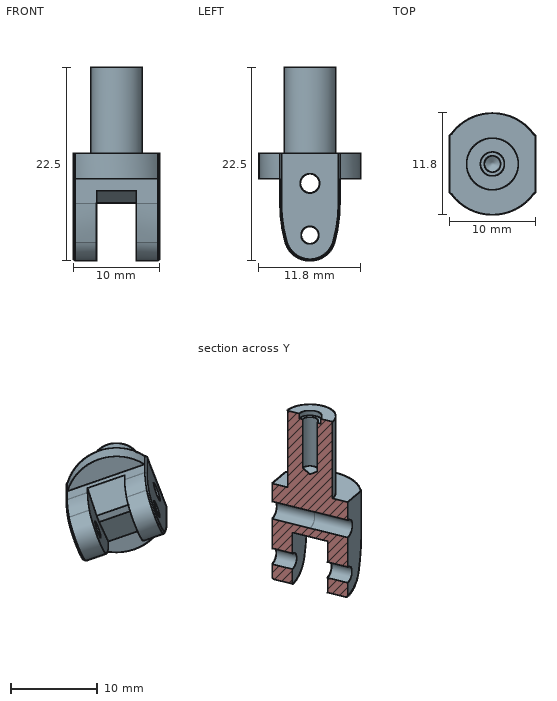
import cadquery as cq
import math

total_height = 22.5
flange_top = 12.5
flange_thickness = 3.0
flange_diameter = 11.83
width_x = 10.0
shaft_diameter = 6.0

fork_width = 7.0
straight_bottom = 6.7
tip_radius = 3.0
fork_chamfer = 0.2

slot_width = 4.59
slot_end_height = 8.15
slot_middle_height = straight_bottom
slot_slope_angle = 25.0

upper_hole_diameter = 2.2
upper_hole_height = 9.0
lower_hole_diameter = 2.0
lower_hole_height = tip_radius

counterbore_diameter = 2.8
counterbore_depth = 0.63
bore_diameter = 1.9
bore_depth = 7.0
drill_point_angle = 118.0


def make_fork():
    """Rounded fork block: straight flanks, long side arcs and a tangent tip arc."""
    half = fork_width / 2
    rise = straight_bottom - tip_radius
    flank_offset = half - tip_radius
    side_radius = tip_radius + (flank_offset**2 + rise**2) / (2 * flank_offset)
    join_angle = math.asin(rise / (side_radius - tip_radius))
    side_center_y = half - side_radius

    def side_point(angle):
        return (
            side_center_y + side_radius * math.cos(angle),
            straight_bottom - side_radius * math.sin(angle),
        )

    mid_y, mid_z = side_point(join_angle / 2)
    join_y, join_z = side_point(join_angle)
    return (
        cq.Workplane("YZ")
        .moveTo(-half, flange_top)
        .lineTo(-half, straight_bottom)
        .threePointArc((-mid_y, mid_z), (-join_y, join_z))
        .threePointArc((0, 0), (join_y, join_z))
        .threePointArc((mid_y, mid_z), (half, straight_bottom))
        .lineTo(half, flange_top)
        .close()
        .extrude(width_x / 2, both=True)
        .faces("<X or >X")
        .edges("not >Z")
        .chamfer(fork_chamfer)
    )


def make_flange():
    """Round flange with two flats, level with the outer faces of the fork."""
    disc = (
        cq.Workplane("XY")
        .workplane(offset=flange_top - flange_thickness)
        .circle(flange_diameter / 2)
        .extrude(flange_thickness)
    )
    flats = cq.Workplane("XY").box(width_x, flange_diameter, 2 * flange_top)
    return disc.intersect(flats)


def make_shaft():
    return (
        cq.Workplane("XY")
        .workplane(offset=flange_top)
        .circle(shaft_diameter / 2)
        .extrude(total_height - flange_top)
    )


def make_slot():
    half = fork_width / 2
    slope_rise = slot_end_height - slot_middle_height
    flat_half = half - slope_rise / math.tan(math.radians(slot_slope_angle))
    return (
        cq.Workplane("YZ")
        .moveTo(-half, 0)
        .lineTo(half, 0)
        .lineTo(half, slot_end_height)
        .lineTo(flat_half, slot_middle_height)
        .lineTo(-flat_half, slot_middle_height)
        .lineTo(-half, slot_end_height)
        .close()
        .extrude(slot_width / 2, both=True)
    )


def make_cross_hole(diameter, height):
    return cq.Workplane("YZ").center(0, height).circle(diameter / 2).extrude(width_x, both=True)


def make_shaft_hole():
    """Counterbore, bore and conical drill point, revolved about the Z axis."""
    bore_radius = bore_diameter / 2
    bore_bottom = total_height - bore_depth
    ledge = total_height - counterbore_depth
    cone_height = bore_radius / math.tan(math.radians(drill_point_angle / 2))
    return (
        cq.Workplane("XZ")
        .moveTo(0, total_height)
        .lineTo(counterbore_diameter / 2, total_height)
        .lineTo(counterbore_diameter / 2, ledge)
        .lineTo(bore_radius, ledge)
        .lineTo(bore_radius, bore_bottom)
        .lineTo(0, bore_bottom - cone_height)
        .close()
        .revolve(360, (0, 0, 0), (0, 1, 0))
    )


result = (
    make_fork()
    .union(make_flange())
    .union(make_shaft())
    .cut(make_slot())
    .cut(make_cross_hole(upper_hole_diameter, upper_hole_height))
    .cut(make_cross_hole(lower_hole_diameter, lower_hole_height))
    .cut(make_shaft_hole())
)